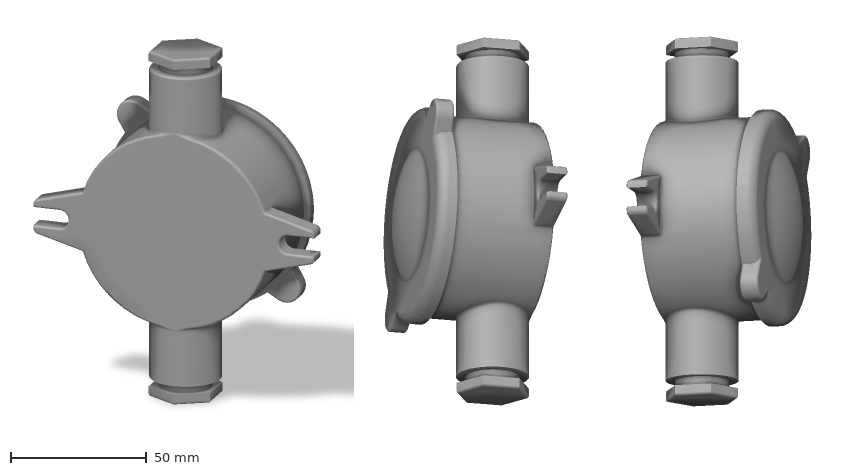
import cadquery as cq
import math

EDGE = 1.0

DRUM_RADIUS = 37.5
LID_RADIUS = 40.0
LID_BACK = 38.0
LID_FRONT = 45.0
LID_ROUNDING = 3.9
DOME_RADIUS = 24.5
DOME_TOP = 50.0

GLAND_AXIS_Y = 13.5
GLAND_CLEARANCE = 0.07
GLAND_RADIUS = GLAND_AXIS_Y - GLAND_CLEARANCE
TUBE_TOP = 60.0
TUBE_BOTTOM = 59.8
NECK_RADIUS = 10.0
NUT_FLATS = 24.0
NUT_START = 63.1
NUT_END = 67.0

EAR_SPAN = 110.0
EAR_TIP_X = EAR_SPAN / 2
EAR_THICKNESS = 8.0
EAR_TIP_HALF = 6.3
EAR_TAPER = 15.0
EAR_CORNER = 2.0
SLOT_RADIUS = 3.5
SLOT_CENTRE_X = 44.8

LUG_DISTANCE = 42.6
LUG_RADIUS = 5.9
LUG_FLARE = 15.0
LUG_ROOT_X = 29.5
LUG_ANGLES = (135, 315)


def cylinder_y(radius, start, end):
    """Cylinder on the Y axis between two Y positions."""
    return cq.Workplane("XZ", origin=(0, start, 0)).circle(radius).extrude(start - end)


def drum_with_tubes():
    """Drum and gland tubes, blended where they meet and rounded along the base edge.

    The drum starts below the base so that the blend runs out evenly when it is trimmed at Y = 0.
    """
    spare = GLAND_RADIUS / 2
    drum = cylinder_y(DRUM_RADIUS, -spare, LID_BACK)
    tubes = (
        cq.Workplane("XY", origin=(0, GLAND_AXIS_Y, -TUBE_BOTTOM))
        .circle(GLAND_RADIUS)
        .extrude(TUBE_BOTTOM + TUBE_TOP)
        .faces(">Z").edges().fillet(EDGE)
    )
    blended = drum.union(tubes).edges("%BSPLINE").fillet(EDGE)
    trimmed = blended.cut(cylinder_y(2 * DRUM_RADIUS, -spare, 0))
    return trimmed.faces("<Y").edges().fillet(EDGE)


def gland_nut():
    """Hexagonal nut and its neck at the top, with two flats facing +X and -X."""
    axis = cq.Workplane("XY", origin=(0, GLAND_AXIS_Y, 0))
    neck = axis.circle(NECK_RADIUS).extrude(NUT_START)
    nut = (
        axis.workplane(offset=NUT_START)
        .polygon(6, NUT_FLATS, circumscribed=True)
        .extrude(NUT_END - NUT_START)
        .faces(">Z").edges().fillet(EDGE)
    )
    return neck.union(nut)


def ear():
    """Tapered ear towards +X with an open slot, rounded on both faces."""
    root_half = EAR_TIP_HALF + EAR_TIP_X * math.tan(math.radians(EAR_TAPER))
    blank = (
        cq.Workplane("XZ")
        .polyline([(0, -root_half), (EAR_TIP_X, -EAR_TIP_HALF), (EAR_TIP_X, EAR_TIP_HALF), (0, root_half)])
        .close()
        .extrude(-EAR_THICKNESS)
        .edges("|Y and >X").fillet(EAR_CORNER)
    )
    slot = (
        cq.Workplane("XZ")
        .moveTo(EAR_TIP_X, -SLOT_RADIUS)
        .lineTo(SLOT_CENTRE_X, -SLOT_RADIUS)
        .threePointArc((SLOT_CENTRE_X - SLOT_RADIUS, 0), (SLOT_CENTRE_X, SLOT_RADIUS))
        .lineTo(EAR_TIP_X, SLOT_RADIUS)
        .close()
        .extrude(-EAR_THICKNESS)
    )
    return blank.cut(slot).faces("<Y or >Y").edges("not <X").fillet(EDGE)


def blend_ear_tops(housing):
    """Round the inside corner where the upper face of each ear meets the drum wall."""
    box = cq.selectors.BoxSelector(
        (-DRUM_RADIUS, EAR_THICKNESS - EDGE / 2, -DRUM_RADIUS),
        (DRUM_RADIUS, EAR_THICKNESS + EDGE / 2, DRUM_RADIUS),
    )
    return housing.edges("%CIRCLE").edges(box).fillet(EDGE)


def lid():
    """Flat lid with a rounded rim and a shallow spherical dome."""
    disc = cylinder_y(LID_RADIUS, LID_BACK, LID_FRONT).faces(">Y").edges().fillet(LID_ROUNDING)
    rise = DOME_TOP - LID_FRONT
    sphere_radius = (DOME_RADIUS**2 + rise**2) / (2 * rise)
    half_angle = math.asin(DOME_RADIUS / sphere_radius) / 2
    dome_middle = (
        sphere_radius * math.sin(half_angle),
        DOME_TOP - sphere_radius * (1 - math.cos(half_angle)),
    )
    dome = (
        cq.Workplane("XY")
        .moveTo(0, LID_BACK)
        .lineTo(DOME_RADIUS, LID_BACK)
        .lineTo(DOME_RADIUS, LID_FRONT)
        .threePointArc(dome_middle, (0, DOME_TOP))
        .close()
        .revolve(360, (0, 0, 0), (0, 1, 0))
    )
    return disc.union(dome)


def lug(angle):
    """Round-ended lug, turned from +X to its angle."""
    flare = math.radians(LUG_FLARE)
    tangent_x = LUG_DISTANCE + LUG_RADIUS * math.sin(flare)
    tangent_z = LUG_RADIUS * math.cos(flare)
    root_z = tangent_z + (tangent_x - LUG_ROOT_X) * math.tan(flare)
    blank = (
        cq.Workplane("XZ", origin=(0, LID_BACK, 0))
        .moveTo(LUG_ROOT_X, -root_z)
        .lineTo(tangent_x, -tangent_z)
        .threePointArc((LUG_DISTANCE + LUG_RADIUS, 0), (tangent_x, tangent_z))
        .lineTo(LUG_ROOT_X, root_z)
        .close()
        .extrude(LID_BACK - LID_FRONT)
    )
    rounded = blank.faces("<Y or >Y").edges("not <X").fillet(EDGE)
    return rounded.rotate((0, 0, 0), (0, 1, 0), -angle)


housing = drum_with_tubes()
right_ear = ear()
housing = housing.union(right_ear).union(right_ear.mirror("YZ"))
housing = blend_ear_tops(housing)

top_nut = gland_nut()
result = housing.union(top_nut).union(top_nut.mirror("XY")).union(lid())
for lug_angle in LUG_ANGLES:
    result = result.union(lug(lug_angle))